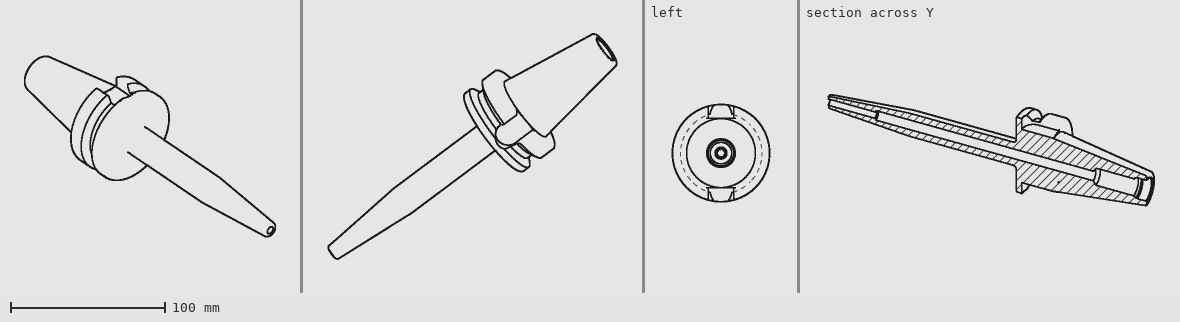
import cadquery as cq
import math

total_length = 225.5
flange_start = 66.0
rear_rim_end = 76.9
front_rim_start = 87.2
flange_end = 92.6
shank_end = 167.7

taper_large_radius = 22.3
taper_slope = 7 / 48
taper_small_radius = taper_large_radius - flange_start * taper_slope
flange_radius = 31.5
shank_radius = 10.0
tip_radius = 5.2

groove_depth = 5.2
groove_angle = 60
groove_flank_length = groove_depth * math.tan(math.radians(groove_angle / 2))

taper_end_fillet = 1.5
flange_fillet = 1.25
shank_root_fillet = 2.5
tip_fillet = 1.4

slot_half_width = 8.1
slot_floor_height = 22.5
slot_end = 88.5

lip_radius = 9.2
counterbore_radius = 8.5
counterbore_depth = 6.8
relief_radius = 8.3
relief_length = 1.1
thread_bore_radius = 7.0
thread_bore_depth = 36.0
drill_tip_angle = 118
coolant_bore_radius = 3.8
tool_bore_radius = 2.5
tool_bore_depth = 33.8
tool_bore_chamfer = 0.7

tolerance = 0.02


def revolve_about_x(profile):
    """Turn a closed outline of (x, radius) points about the X axis."""
    return cq.Workplane("XZ").polyline(profile).close().revolve(360, (0, 0, 0), (1, 0, 0))


def make_outer_body():
    groove_floor_radius = flange_radius - groove_depth
    profile = [
        (0, 0),
        (0, taper_small_radius),
        (flange_start, taper_large_radius),
        (flange_start, flange_radius),
        (rear_rim_end, flange_radius),
        (rear_rim_end + groove_flank_length, groove_floor_radius),
        (front_rim_start - groove_flank_length, groove_floor_radius),
        (front_rim_start, flange_radius),
        (flange_end, flange_radius),
        (flange_end, shank_radius),
        (shank_end, shank_radius),
        (total_length, tip_radius),
        (total_length, 0),
    ]
    return revolve_about_x(profile)


def fillet_ring(body, x, ring_radius, fillet_radius):
    """Round the full circular edge of the given radius that lies in the plane at x."""

    def on_ring(edge):
        return (
            edge.geomType() == "CIRCLE"
            and abs(edge.Center().x - x) < tolerance
            and abs(edge.radius() - ring_radius) < tolerance
        )

    return body.edges().filter(on_ring).fillet(fillet_radius)


def make_slot(side):
    """Round-ended slot above (side 1) or below (side -1) the axis, open towards the taper."""
    round_centre = slot_end - slot_half_width
    return (
        cq.Workplane("XY", origin=(0, 0, side * slot_floor_height))
        .moveTo(0, -slot_half_width)
        .lineTo(round_centre, -slot_half_width)
        .threePointArc((slot_end, 0), (round_centre, slot_half_width))
        .lineTo(0, slot_half_width)
        .close()
        .extrude(side * flange_radius)
    )


def is_rear_rim_edge(edge):
    """True for edges of the rear rim along its back face and along the slot walls."""
    centre = edge.Center()
    if edge.geomType() == "LINE":
        on_slot_wall = abs(abs(centre.y) - slot_half_width) < tolerance
        above_slot_floor = abs(centre.z) > slot_floor_height + tolerance
        return on_slot_wall and above_slot_floor and centre.x < rear_rim_end
    on_back_face = abs(centre.x - flange_start) < tolerance
    return on_back_face and abs(edge.radius() - flange_radius) < tolerance


def make_bore():
    lip_depth = lip_radius - counterbore_radius
    thread_chamfer = relief_radius - thread_bore_radius
    relief_end = counterbore_depth + relief_length
    drill_tip_slope = math.tan(math.radians(drill_tip_angle / 2))
    drill_tip_length = (thread_bore_radius - coolant_bore_radius) / drill_tip_slope
    tool_bore_start = total_length - tool_bore_depth
    profile = [
        (0, 0),
        (0, lip_radius),
        (lip_depth, counterbore_radius),
        (counterbore_depth, counterbore_radius),
        (counterbore_depth, relief_radius),
        (relief_end, relief_radius),
        (relief_end + thread_chamfer, thread_bore_radius),
        (thread_bore_depth, thread_bore_radius),
        (thread_bore_depth + drill_tip_length, coolant_bore_radius),
        (tool_bore_start, coolant_bore_radius),
        (tool_bore_start, tool_bore_radius + tool_bore_chamfer),
        (tool_bore_start + tool_bore_chamfer, tool_bore_radius),
        (total_length, tool_bore_radius),
        (total_length, 0),
    ]
    return revolve_about_x(profile)


body = make_outer_body()
body = fillet_ring(body, 0, taper_small_radius, taper_end_fillet)
body = fillet_ring(body, flange_end, flange_radius, flange_fillet)
body = fillet_ring(body, flange_end, shank_radius, shank_root_fillet)
body = fillet_ring(body, total_length, tip_radius, tip_fillet)

for side in (1, -1):
    body = body.cut(make_slot(side))
body = body.edges().filter(is_rear_rim_edge).fillet(flange_fillet)

result = body.cut(make_bore())